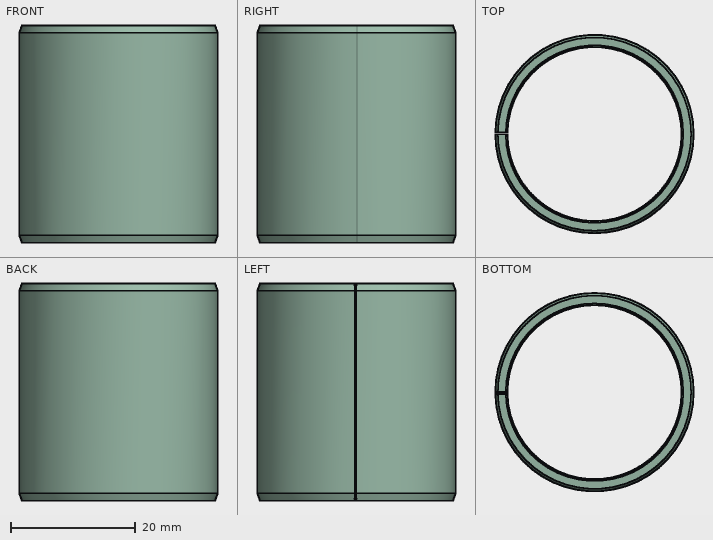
import math

import cadquery as cq

length = 35.0
outer_diameter = 32.0
inner_diameter = 28.0
outer_chamfer_length = 1.2
outer_chamfer_angle = 20.0
inner_chamfer = 0.3
seam_width = 0.28

outer_radius = outer_diameter / 2
inner_radius = inner_diameter / 2
outer_chamfer_depth = outer_chamfer_length * math.tan(math.radians(outer_chamfer_angle))


def bushing_wall():
    """Revolve the wall section, chamfered at both ends inside and outside."""
    section = (
        cq.Workplane("XZ")
        .moveTo(inner_radius + inner_chamfer, 0)
        .lineTo(outer_radius - outer_chamfer_depth, 0)
        .lineTo(outer_radius, outer_chamfer_length)
        .lineTo(outer_radius, length - outer_chamfer_length)
        .lineTo(outer_radius - outer_chamfer_depth, length)
        .lineTo(inner_radius + inner_chamfer, length)
        .lineTo(inner_radius, length - inner_chamfer)
        .lineTo(inner_radius, inner_chamfer)
        .close()
    )
    return section.revolve(360, (0, 0, 0), (0, 1, 0))


def seam_cutter():
    """Thin slab through the -X side of the wall, with one face on the XZ plane."""
    return cq.Workplane("XY").box(
        outer_diameter, seam_width, length, centered=False
    ).translate((-outer_diameter, 0, 0))


result = bushing_wall().cut(seam_cutter())